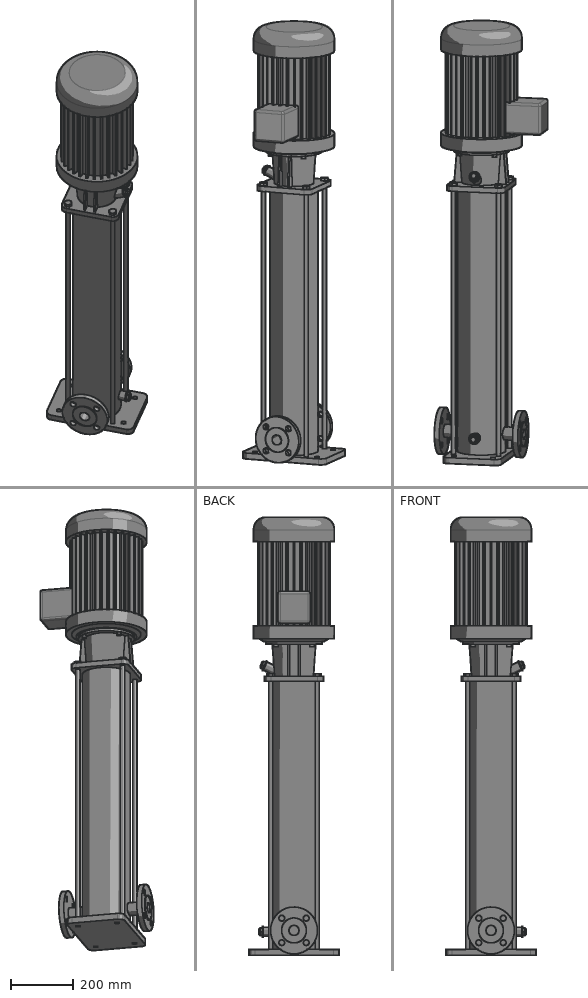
import cadquery as cq
import math

total_height = 1405.0

base_length = 290.0
plate_side = 190.0
plate_corner_radius = 20.0
base_thickness = 20.0
base_hole_diameter = 14.0
base_hole_x = 108.0
base_hole_y = 65.0
head_plate_bottom = 878.0
head_plate_thickness = 17.0
head_plate_top = head_plate_bottom + head_plate_thickness

sleeve_diameter = 155.0
rod_diameter = 14.0
rod_offset = 75.0
nut_across_corners = 25.0
nut_height = 8.0

nozzle_height = 80.0
nozzle_reach = 140.0
sleeve_overlap = 14.0
nozzle_diameter = 42.0
nozzle_bore_diameter = 32.0
flange_diameter = 150.0
flange_thickness = 17.0
raised_face_diameter = 80.0
raised_face_height = 3.0
flange_bolt_circle = 111.0
flange_hole_diameter = 18.0
flange_hole_count = 4
flange_hole_angle = 45.0

plug_body_diameter = 30.0
plug_collar_diameter = 34.0
plug_collar_thickness = 3.0
plug_hex_across_corners = 28.0
plug_hex_chamfer = 4.0
plug_hex_height = 11.0
drain_height = 76.0
drain_reach = 112.0
vent_start_x = 53.0
vent_start_z = 909.0
vent_length = 58.0
vent_angle = 25.0

lantern_bottom_diameter = 126.0
lantern_top_diameter = 140.0
lantern_top = 998.0
rib_thickness = 5.0
rib_offset = 17.0
rib_bottom_reach = 86.0
rib_top_reach = 77.0
spigot_diameter = 180.0
spigot_top = 1006.0
cone_bottom_diameter = 194.0
cone_top_diameter = 222.0
motor_bolt_diameter = 14.0
motor_bolt_height = 8.0
motor_bolt_offset = 58.0

motor_diameter = 260.0
motor_bottom = 1015.0
motor_flange_top = 1057.0
cowl_bottom = 1326.0
cowl_top_diameter = 180.0
fin_tip_diameter = 233.0
fin_root_diameter = 200.0
fin_thickness = 5.0
fin_count = 30

box_side = 104.0
box_bottom = 1064.0
box_reach = 208.0
box_edge_radius = 8.0


def cylinder(diameter, bottom, top):
    return cq.Workplane("XY").workplane(offset=bottom).circle(diameter / 2).extrude(top - bottom)


def cone(bottom_diameter, top_diameter, bottom, top):
    return (
        cq.Workplane("XY").workplane(offset=bottom).circle(bottom_diameter / 2)
        .workplane(offset=top - bottom).circle(top_diameter / 2).loft()
    )


def rounded_plate(length, width, bottom, thickness):
    plate = cq.Workplane("XY").workplane(offset=bottom).rect(length, width).extrude(thickness)
    return plate.edges("|Z").fillet(plate_corner_radius)


def at_corners(offset_x, offset_y, bottom):
    """Work plane at a height, with one point in each quadrant."""
    plane = cq.Workplane("XY").workplane(offset=bottom)
    return plane.rect(2 * offset_x, 2 * offset_y, forConstruction=True).vertices()


def make_plates():
    base = rounded_plate(base_length, plate_side, 0, base_thickness)
    holes = at_corners(base_hole_x, base_hole_y, 0).circle(base_hole_diameter / 2).extrude(base_thickness)
    head = rounded_plate(plate_side, plate_side, head_plate_bottom, head_plate_thickness)
    return base.cut(holes).union(head)


def make_column():
    sleeve = cylinder(sleeve_diameter, 0, head_plate_top)
    rods = at_corners(rod_offset, rod_offset, 0).circle(rod_diameter / 2).extrude(head_plate_top)
    nuts = at_corners(rod_offset, rod_offset, head_plate_top)
    nuts = nuts.polygon(6, nut_across_corners).extrude(nut_height)
    return sleeve.union(rods).union(nuts)


def nozzle_plane(reach):
    """Work plane across the nozzle axis at Y = -reach, facing the pump."""
    plane = cq.Plane(origin=(0, -reach, nozzle_height), xDir=(1, 0, 0), normal=(0, 1, 0))
    return cq.Workplane(plane)


def make_nozzle():
    """Bored nozzle with its flange on the -Y side, reaching in to the sleeve wall."""
    flange_reach = nozzle_reach - raised_face_height
    nozzle_root = sleeve_diameter / 2 - sleeve_overlap
    pipe = nozzle_plane(flange_reach).circle(nozzle_diameter / 2).extrude(flange_reach - nozzle_root)
    flange = nozzle_plane(flange_reach).circle(flange_diameter / 2).extrude(flange_thickness)
    face = nozzle_plane(nozzle_reach).circle(raised_face_diameter / 2).extrude(raised_face_height)
    holes = (
        nozzle_plane(flange_reach)
        .polarArray(flange_bolt_circle / 2, flange_hole_angle, 360, flange_hole_count)
        .circle(flange_hole_diameter / 2).extrude(flange_thickness)
    )
    bore = nozzle_plane(nozzle_reach).circle(nozzle_bore_diameter / 2)
    bore = bore.extrude(nozzle_reach - sleeve_diameter / 2)
    return pipe.union(flange).union(face).cut(holes).cut(bore)


def make_plug(start, direction, length):
    """Plug with a collar and hexagon head; length is measured over everything."""
    plane = cq.Plane(origin=start, xDir=(0, 1, 0), normal=direction)
    collar_start = length - plug_hex_height - plug_collar_thickness
    hex_start = length - plug_hex_height
    body = cq.Workplane(plane).circle(plug_body_diameter / 2).extrude(hex_start)
    collar = cq.Workplane(plane).workplane(offset=collar_start)
    collar = collar.circle(plug_collar_diameter / 2).extrude(plug_collar_thickness)
    head = cq.Workplane(plane).workplane(offset=hex_start)
    head = head.polygon(6, plug_hex_across_corners).extrude(plug_hex_height)
    head = head.faces(cq.DirectionMinMaxSelector(cq.Vector(*direction))).chamfer(plug_hex_chamfer)
    return body.union(collar).union(head)


def make_lantern():
    """Tapered barrel with a pair of sloping ribs front and back, topped by the motor spigot."""
    lantern = cone(lantern_bottom_diameter, lantern_top_diameter, head_plate_top, lantern_top)
    rib_outline = [
        (-rib_bottom_reach, head_plate_top),
        (rib_bottom_reach, head_plate_top),
        (rib_top_reach, lantern_top),
        (-rib_top_reach, lantern_top),
    ]
    for side in (-1, 1):
        rib = cq.Workplane("YZ").workplane(offset=side * rib_offset)
        rib = rib.polyline(rib_outline).close().extrude(rib_thickness / 2, both=True)
        lantern = lantern.union(rib)
    spigot = cylinder(spigot_diameter, lantern_top, spigot_top)
    adapter = cone(cone_bottom_diameter, cone_top_diameter, spigot_top, motor_bottom)
    bolts = at_corners(motor_bolt_offset, motor_bolt_offset, lantern_top - motor_bolt_height)
    bolts = bolts.circle(motor_bolt_diameter / 2).extrude(motor_bolt_height)
    return lantern.union(spigot).union(adapter).union(bolts)


def make_motor():
    flange = cylinder(motor_diameter, motor_bottom, motor_flange_top)
    core = cylinder(fin_root_diameter, motor_flange_top, cowl_bottom)
    cowl = cylinder(motor_diameter, cowl_bottom, total_height)
    cowl = cowl.faces(">Z").edges().fillet((motor_diameter - cowl_top_diameter) / 2)
    bar_count = fin_count // 2
    last_bar_angle = 180 - 360 / fin_count
    fins = (
        cq.Workplane("XY").workplane(offset=motor_flange_top)
        .polarArray(0, 90, last_bar_angle, bar_count)
        .rect(fin_tip_diameter, fin_thickness).extrude(cowl_bottom - motor_flange_top)
    )
    return core.union(fins).union(flange).union(cowl)


def make_terminal_box():
    """Box on the +Y side, running in to the motor axis, with rounded outer edges."""
    box = cq.Workplane("XY").box(box_side, box_reach, box_side, centered=(True, False, False))
    box = box.translate((0, 0, box_bottom))
    box = box.edges("|Y").fillet(box_edge_radius)
    return box.faces(">Y").edges().fillet(box_edge_radius)


nozzle = make_nozzle()
drain_plug = make_plug((0, 0, drain_height), (1, 0, 0), drain_reach)
vent_slope = math.radians(vent_angle)
vent_plug = make_plug(
    (vent_start_x, 0, vent_start_z),
    (math.cos(vent_slope), 0, math.sin(vent_slope)),
    vent_length,
)

result = (
    make_plates()
    .union(make_column())
    .union(nozzle)
    .union(nozzle.mirror("XZ"))
    .union(drain_plug)
    .union(vent_plug)
    .union(make_lantern())
    .union(make_motor())
    .union(make_terminal_box())
)